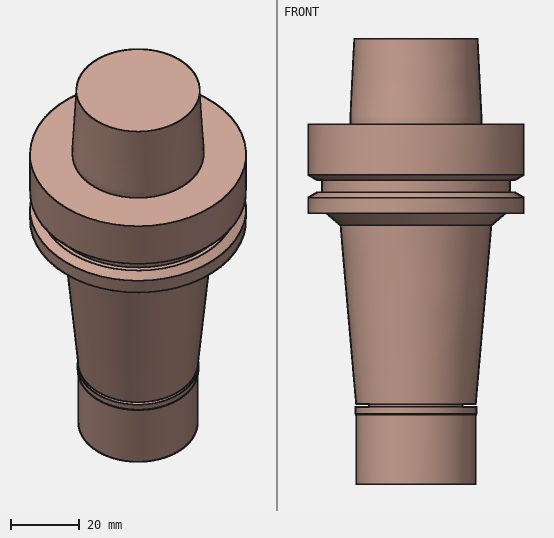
import cadquery as cq
import math

total_height = 130.0
flange_top = 105.0
flange_bottom = 79.0
nose_collar_height = 2.0
groove_center = 87.0
body_top = 75.5
body_bottom = 23.4
relief_height = 0.8
ring_height = 2.3
ring_chamfer_height = 0.4

nose_diameter = 38.4
flange_diameter = 63.0
groove_diameter = 55.0
shoulder_diameter = 52.3
body_top_diameter = 44.1
body_bottom_diameter = 35.0
relief_diameter = 27.4
ring_diameter = 35.4
nut_diameter = 35.0

nose_taper = 0.1
groove_mouth_width = 6.6
groove_neck_width = 3.5
groove_wall_angle = 30.0

taper_start = flange_top + nose_collar_height
nose_tip_diameter = nose_diameter - nose_taper * (total_height - taper_start)
flare_height = (groove_mouth_width - groove_neck_width) / 2
flare_depth = flare_height / math.tan(math.radians(groove_wall_angle))
flare_diameter = flange_diameter - 2 * flare_depth
ring_top = body_bottom - relief_height
ring_bottom = ring_top - ring_height


def revolve_profile(stations):
    """Revolve (diameter, height) stations, listed bottom to top, about Z."""
    outline = [(diameter / 2, height) for diameter, height in stations]
    bottom_center = (0, outline[0][1])
    top_center = (0, outline[-1][1])
    points = [bottom_center] + outline + [top_center]
    return cq.Workplane("XZ").polyline(points).close().revolve(360, (0, 0), (0, 1))


nut = [
    (nut_diameter, 0),
    (nut_diameter, ring_bottom),
    (ring_diameter, ring_bottom + ring_chamfer_height),
    (ring_diameter, ring_top),
]

relief = [
    (relief_diameter, ring_top),
    (relief_diameter, body_bottom),
]

body = [
    (body_bottom_diameter, body_bottom),
    (body_top_diameter, body_top),
    (shoulder_diameter, flange_bottom),
]

flange = [
    (flange_diameter, flange_bottom),
    (flange_diameter, groove_center - groove_mouth_width / 2),
    (flare_diameter, groove_center - groove_neck_width / 2),
    (groove_diameter, groove_center - groove_neck_width / 2),
    (groove_diameter, groove_center + groove_neck_width / 2),
    (flare_diameter, groove_center + groove_neck_width / 2),
    (flange_diameter, groove_center + groove_mouth_width / 2),
    (flange_diameter, flange_top),
]

nose = [
    (nose_diameter, flange_top),
    (nose_diameter, taper_start),
    (nose_tip_diameter, total_height),
]

result = revolve_profile(nut + relief + body + flange + nose)